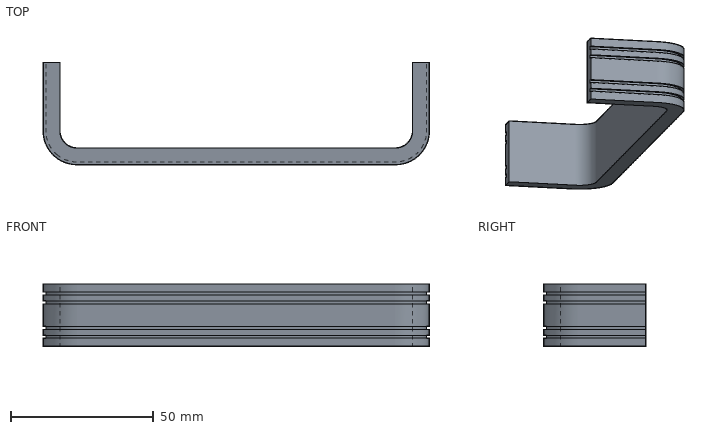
import cadquery as cq

length = 136.0
depth = 36.0
height = 22.0

thickness = 6.0
outer_radius = 2 * thickness

groove_width = 1.0
groove_depth = 1.0
groove_offsets = (4.5, 7.6)


def rounded_block(inset, block_height):
    """Block inset from the handle's outer faces, open at the back, rounded at the front corners."""
    return (
        cq.Workplane("XY")
        .box(length - 2 * inset, depth - inset, block_height)
        .translate((0, inset / 2, 0))
        .edges("|Z and <Y")
        .fillet(outer_radius - inset)
    )


def u_band(band_thickness, band_height):
    """U-shaped band of even thickness along the handle's outer faces."""
    return rounded_block(0, band_height).cut(rounded_block(band_thickness, band_height))


result = u_band(thickness, height)

groove = u_band(groove_depth, groove_width)
for offset in groove_offsets:
    for side in (-1, 1):
        result = result.cut(groove.translate((0, 0, side * offset)))